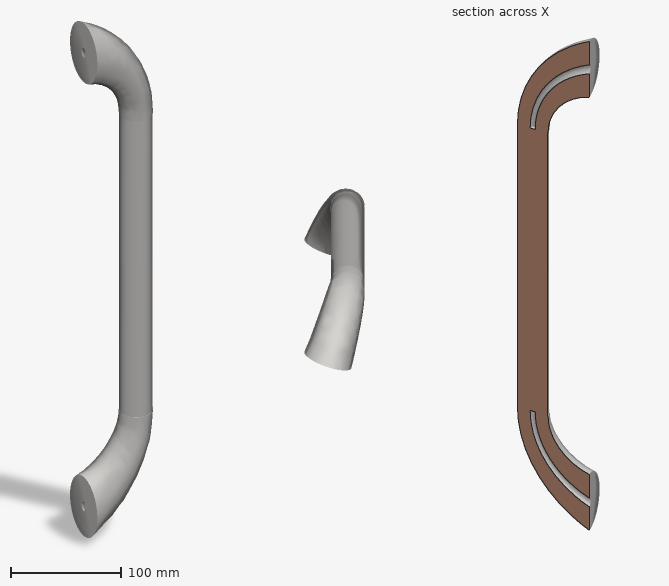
import cadquery as cq
import math

HEIGHT = 565.0
DEPTH = 72.5
BAR_DIAMETER = 30.5
BAR_LENGTH = 326.5

ELBOW_DIAMETER = 31.0

FOOT_WIDTH = 45.0
FOOT_HEIGHT = 65.0

BORE_FRACTION = 0.15

SECTION_COUNT = 9

ELBOW_RADIUS = ELBOW_DIAMETER / 2
BAR_END = BAR_LENGTH / 2
FOOT_Y = ELBOW_RADIUS - DEPTH
FOOT_TOP = HEIGHT / 2
FOOT_BOTTOM = FOOT_TOP - FOOT_HEIGHT


def point_on_bend(start_y, end_z, fraction):
    """Point (Y, Z) on the arc that leaves the bar end vertically and meets the foot plane."""
    run = start_y - FOOT_Y
    rise = end_z - BAR_END
    radius = (run**2 + rise**2) / (2 * run)
    sweep = math.atan2(rise, radius - run)
    angle = fraction * sweep
    return start_y - radius * (1 - math.cos(angle)), BAR_END + radius * math.sin(angle)


def elbow_section(fraction, scale):
    """Ellipse spanning the outer and inner bends, part way from the bar to the foot."""
    outer = cq.Vector(0, *point_on_bend(ELBOW_RADIUS, FOOT_TOP, fraction))
    inner = cq.Vector(0, *point_on_bend(-ELBOW_RADIUS, FOOT_BOTTOM, fraction))
    across = outer - inner
    center = (outer + inner) / 2
    height = across.Length
    width = min(height, ELBOW_DIAMETER + (FOOT_WIDTH - ELBOW_DIAMETER) * fraction)
    normal = cq.Vector(1, 0, 0).cross(across)
    return cq.Wire.makeEllipse(scale * height / 2, scale * width / 2, center, normal, across)


def elbow_loft(scale):
    """Upper elbow volume, or a slimmer copy of it, from the bar end to the foot face."""
    fractions = [i / (SECTION_COUNT - 1) for i in range(SECTION_COUNT)]
    return cq.Workplane(cq.Solid.makeLoft([elbow_section(f, scale) for f in fractions]))


bar = cq.Workplane("XY").circle(BAR_DIAMETER / 2).extrude(BAR_END, both=True)
upper_elbow = elbow_loft(1.0).cut(elbow_loft(BORE_FRACTION))
lower_elbow = upper_elbow.mirror("XY")

result = bar.union(upper_elbow).union(lower_elbow)